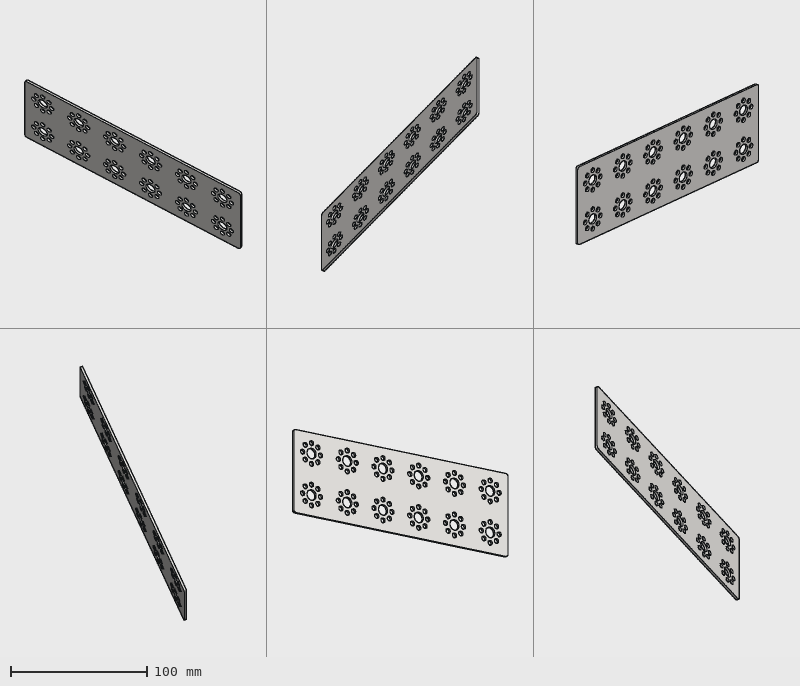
import cadquery as cq

columns = 6
rows = 2
length = 192.0
pitch = length / columns
height = rows * pitch
thickness = 2.0
corner_radius = 2.1

center_hole_diameter = 8.0
screw_hole_diameter = 3.6
screw_circle_radius = pitch / 4
screw_count = 8


def make_plate():
    """Flat plate with rounded corners, centred on the origin."""
    plate = cq.Workplane("XZ").box(length, height, thickness)
    return plate.edges("|Y").fillet(corner_radius)


def make_cluster_cutter():
    """Pins that cut one hole cluster, as long as the plate is thick."""
    center_pin = cq.Workplane("XZ").circle(center_hole_diameter / 2)
    center_pin = center_pin.extrude(thickness / 2, both=True)
    screw_pins = cq.Workplane("XZ").polarArray(screw_circle_radius, 0, 360, screw_count)
    screw_pins = screw_pins.circle(screw_hole_diameter / 2).extrude(thickness / 2, both=True)
    return center_pin.add(screw_pins).combine()


def cut_clusters(plate):
    """Cut a hole cluster through the middle of every cell."""
    cluster = make_cluster_cutter()
    for column in range(columns):
        for row in range(rows):
            x = (column - (columns - 1) / 2) * pitch
            z = (row - (rows - 1) / 2) * pitch
            plate = plate.cut(cluster.translate((x, 0, z)))
    return plate


result = cut_clusters(make_plate())